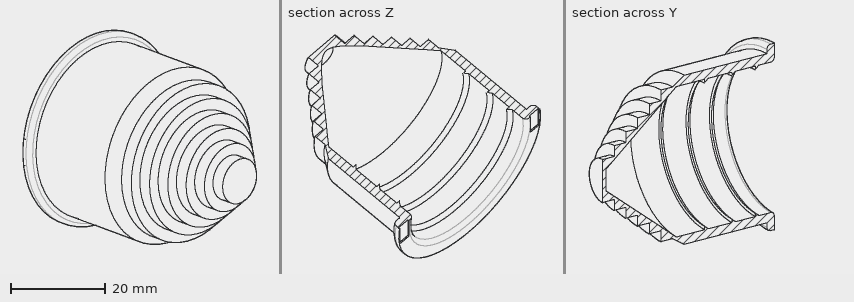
import cadquery as cq

flange_radius = 21.5
flange_thickness = 2.0
flange_rounding = 1.0

body_radius = 19.5
body_end = 23.2
step_length = 3.0
taper_end = body_end + step_length

first_step_radius = 17.5
step_drop = 2.5
step_count = 6
total_length = taper_end + step_count * step_length

bore_radius = 17.25
mouth_rounding = 1.0
floor_radius = 2.5
floor_thickness = 1.0
floor_position = total_length - floor_thickness
cone_length = 18.0
cone_start = floor_position - cone_length

rib_height = 0.8
rib_ramp_length = 1.0
rib_starts = (4.0, 10.0, 17.0)

recess_width = 2.6
recess_length = 6.0
recess_depth = 0.3
recess_offset = 19.75


def revolve_about_x(profile):
    """Turn a closed (x, radius) profile into a solid around the X axis."""
    return profile.close().revolve(360, (0, 0, 0), (1, 0, 0))


def outer_body():
    """Flange, body, taper and stepped nose as one solid of revolution."""
    profile = (
        cq.Workplane("XZ")
        .lineTo(0, flange_radius)
        .lineTo(flange_thickness - flange_rounding, flange_radius)
        .radiusArc((flange_thickness, flange_radius - flange_rounding), flange_rounding)
        .lineTo(flange_thickness, body_radius)
        .lineTo(body_end, body_radius)
    )
    for step in range(step_count):
        radius = first_step_radius - step * step_drop
        start = taper_end + step * step_length
        profile = profile.lineTo(start, radius).lineTo(start + step_length, radius)
    return revolve_about_x(profile.lineTo(total_length, 0))


def bore():
    """Hollow with a rounded mouth, sawtooth ribs left standing and a conical end."""
    profile = (
        cq.Workplane("XZ")
        .lineTo(0, bore_radius + mouth_rounding)
        .radiusArc((mouth_rounding, bore_radius), -mouth_rounding)
    )
    for start in rib_starts:
        crest = start + rib_ramp_length
        profile = (
            profile.lineTo(start, bore_radius)
            .lineTo(crest, bore_radius - rib_height)
            .lineTo(crest, bore_radius)
        )
    profile = (
        profile.lineTo(cone_start, bore_radius)
        .lineTo(floor_position, floor_radius)
        .lineTo(floor_position, 0)
    )
    return revolve_about_x(profile)


def label_recess(side):
    """Shallow pocket in the flange face, on the +Y (1) or -Y (-1) side."""
    return (
        cq.Workplane("XY")
        .box(recess_depth, recess_width, recess_length, centered=(False, True, True))
        .translate((0, side * recess_offset, 0))
    )


result = outer_body().cut(bore())
for side in (1, -1):
    result = result.cut(label_recess(side))